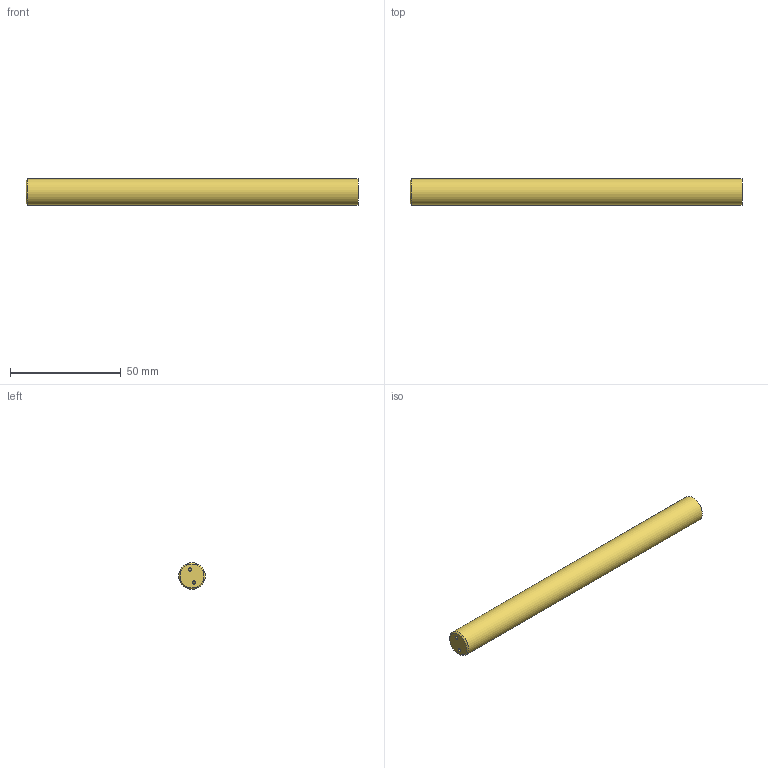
import cadquery as cq
import math

rod_length = 150.0
rod_diameter = 12.0
end_chamfer = 0.6

channel_count = 2
channel_diameter = 1.5
channel_circle_diameter = 6.2
first_channel_angle = 73.0
helix_angle = 30.0
channel_overrun = 1.0
helix_pitch = math.pi * rod_diameter / math.tan(math.radians(helix_angle))


def make_rod():
    """Round bar along +X, chamfered at the X = 0 end only."""
    rod = cq.Workplane("YZ").circle(rod_diameter / 2).extrude(rod_length)
    return rod.faces("<X").chamfer(end_chamfer)


def make_channel(start_angle):
    """Right-handed spiral channel, built along Z and then turned onto X."""
    circle_radius = channel_circle_diameter / 2
    helix = cq.Wire.makeHelix(helix_pitch, rod_length + channel_overrun, circle_radius)
    profile = cq.Workplane("XY").center(circle_radius, 0).circle(channel_diameter / 2)
    channel = profile.sweep(cq.Workplane(helix), isFrenet=True)
    channel = channel.rotate((0, 0, 0), (0, 0, 1), start_angle)
    return channel.rotate((0, 0, 0), (1, 1, 1), 120)


result = make_rod()
for index in range(channel_count):
    channel_angle = first_channel_angle + index * 360 / channel_count
    result = result.cut(make_channel(channel_angle))